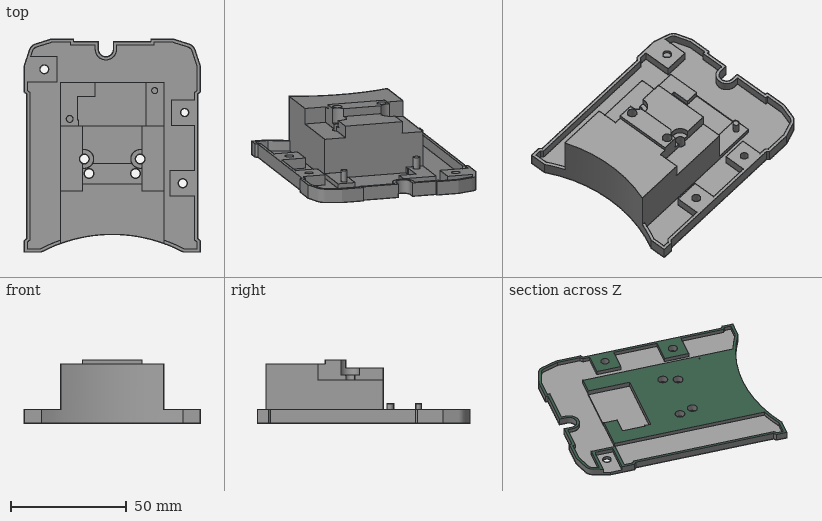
import cadquery as cq

length = 92.0
half_width = 38.1
tray_height = 6.0
floor_thickness = 1.5
wall = 1.4

step = 1.1
side_step_front_y = 4.9
side_step_back_y = 69.2
step_slope = 0.9
corner_start_y = 80.2
corner_x = 35.15
corner_y = 89.3
corner_radius = 4.1
back_edge_x = 26.4
back_step_x = 16.7
front_foot_x = 30.6
front_arc_depth = 7.6

notch_x = -2.8
notch_radius = 3.2
notch_center_y = 87.6

block_half_width = 22.3
block_back_y = 54.5
block_height = 25.7
ledge_inner_x = 12.9
ledge_front_y = 26.3
ledge_z = 18.8
shelf_z = 23.9
ridge_front_y = 29.4
ridge_back_y = 38.3
total_height = 27.4

bolt_hole_dia = 4.05
outer_bolt_x = 12.1
outer_bolt_y = 40.2
inner_bolt_x = 10.0
inner_bolt_y = 34.0
counterbore_dia = 8.1
counterbore_z = 20.8

pad_back_y = 73.3
pad_z = 3.5
bay_floor_z = 1.0
bay_half_width = 14.5
bay_side_relief = 0.5
bay_relief_y = 57.05
bay_shoulder_y = 67.2
bay_neck_x = -7.45
peg_top_z = 8.5
pegs = [(-18.4, 57.5, 2.9), (18.3, 69.75, 2.6)]

boss_size = 11.0
left_boss = (-23.9, 78.95, -29.4, 3.7)
right_bosses = [(25.7, 60.3, 31.3, 3.4), (24.9, 29.7, 30.5, 3.8)]

nut_slot_width = 8.0
nut_slot_bottom_z = 1.4
nut_slot_height = 3.2
nut_slot_inner_x = left_boss[2] + nut_slot_width / 2


def box(x0, x1, y0, y1, z0, z1):
    """Axis-aligned box between two opposite corners."""
    return cq.Workplane("XY").box(x1 - x0, y1 - y0, z1 - z0, centered=False).translate((x0, y0, z0))


def cylinder(x, y, diameter, z0, z1):
    """Upright round bar from z0 to z1."""
    return cq.Workplane("XY", origin=(x, y, z0)).circle(diameter / 2).extrude(z1 - z0)


def tray_outline(height):
    """Solid with the full outside shape of the tray, without the cable notch."""
    inset_x = half_width - step
    right_side = [
        (half_width, 0),
        (half_width, side_step_front_y),
        (inset_x, side_step_front_y + step_slope),
        (inset_x, side_step_back_y - step_slope),
        (half_width, side_step_back_y),
        (half_width, corner_start_y),
        (corner_x, corner_y),
        (back_edge_x, length),
        (back_step_x, length),
        (back_step_x, length - step),
    ]
    left_side = [(-x, y) for x, y in reversed(right_side)]
    body = (
        cq.Workplane("XY")
        .moveTo(-front_foot_x, 0)
        .threePointArc((0, front_arc_depth), (front_foot_x, 0))
    )
    for point in right_side + left_side:
        body = body.lineTo(*point)
    body = body.close().extrude(height)
    margin = 0.9
    corners = cq.selectors.BoxSelector(
        (-corner_x - margin, corner_y - margin, -margin),
        (corner_x + margin, corner_y + margin, height + margin),
    )
    return body.edges("|Z").edges(corners).fillet(corner_radius)


def cable_notch():
    """Round-bottomed slot running out through the back edge."""
    left_x = notch_x - notch_radius
    right_x = notch_x + notch_radius
    slot = cylinder(notch_x, notch_center_y, 2 * notch_radius, 0, tray_height)
    return slot.union(box(left_x, right_x, notch_center_y, length, 0, tray_height))


def tray():
    """Floor with a thin wall that follows the outline all the way round."""
    outline = tray_outline(tray_height).cut(cable_notch())
    bottom = outline.faces("<Z").wires().toPending()
    cavity = bottom.offset2D(-wall, "intersection").extrude(tray_height, combine=False)
    cavity = cavity.translate((0, 0, floor_thickness))
    return outline.cut(cavity)


def block():
    """Block with a concave front, side ledges, a back shelf and a cross ridge."""
    blank = box(-block_half_width, block_half_width, 0, block_back_y, 0, block_height)
    body = blank.intersect(tray_outline(block_height))
    body = body.cut(
        box(-ledge_inner_x, ledge_inner_x, ridge_back_y, block_back_y, shelf_z, block_height)
    )
    for side in (-1, 1):
        x0, x1 = sorted((side * ledge_inner_x, side * block_half_width))
        body = body.cut(box(x0, x1, ledge_front_y, block_back_y, ledge_z, block_height))
    return body.union(
        box(-ledge_inner_x, ledge_inner_x, ridge_front_y, ridge_back_y, shelf_z, total_height)
    )


def block_holes():
    """Four through holes; the outer pair has counterbores."""
    holes = cq.Workplane("XY")
    for side in (-1, 1):
        outer_x = side * outer_bolt_x
        holes = holes.add(cylinder(outer_x, outer_bolt_y, bolt_hole_dia, 0, total_height))
        holes = holes.add(cylinder(outer_x, outer_bolt_y, counterbore_dia, counterbore_z, total_height))
        holes = holes.add(cylinder(side * inner_bolt_x, inner_bolt_y, bolt_hole_dia, 0, total_height))
    return holes.combine()


def pad():
    """Raised pad between the block and the back of the tray."""
    return box(-block_half_width, block_half_width, block_back_y, pad_back_y, 0, pad_z)


def bay():
    """Sunken bay, open at the top, that narrows on its left toward the back."""
    return (
        cq.Workplane("XY", origin=(0, 0, bay_floor_z))
        .moveTo(bay_half_width, block_back_y)
        .lineTo(bay_half_width, pad_back_y)
        .lineTo(bay_neck_x, pad_back_y)
        .lineTo(bay_neck_x, bay_shoulder_y)
        .lineTo(-bay_half_width - bay_side_relief, bay_shoulder_y)
        .lineTo(-bay_half_width - bay_side_relief, bay_relief_y)
        .lineTo(-bay_half_width, bay_relief_y)
        .lineTo(-bay_half_width, block_back_y)
        .close()
        .extrude(pad_z - bay_floor_z)
    )


def boss(inner_x, center_y):
    """Boss as high as the wall, from its inner face to the tray outline."""
    outer_x = half_width if inner_x > 0 else -half_width
    x0, x1 = sorted((inner_x, outer_x))
    y0 = center_y - boss_size / 2
    blank = box(x0, x1, y0, y0 + boss_size, 0, tray_height)
    return blank.intersect(tray_outline(tray_height))


def nut_slot():
    """Flat slot that reaches past the screw hole of the left boss."""
    y0 = left_boss[1] - nut_slot_width / 2
    top_z = nut_slot_bottom_z + nut_slot_height
    return box(-half_width, nut_slot_inner_x, y0, y0 + nut_slot_width, nut_slot_bottom_z, top_z)


result = tray().union(block()).union(pad()).cut(bay()).cut(block_holes())

for peg_x, peg_y, peg_dia in pegs:
    result = result.union(cylinder(peg_x, peg_y, peg_dia, floor_thickness, peg_top_z))

for boss_inner_x, boss_y, hole_x, hole_dia in [left_boss] + right_bosses:
    result = result.union(boss(boss_inner_x, boss_y))
    result = result.cut(cylinder(hole_x, boss_y, hole_dia, 0, tray_height))

result = result.cut(nut_slot())